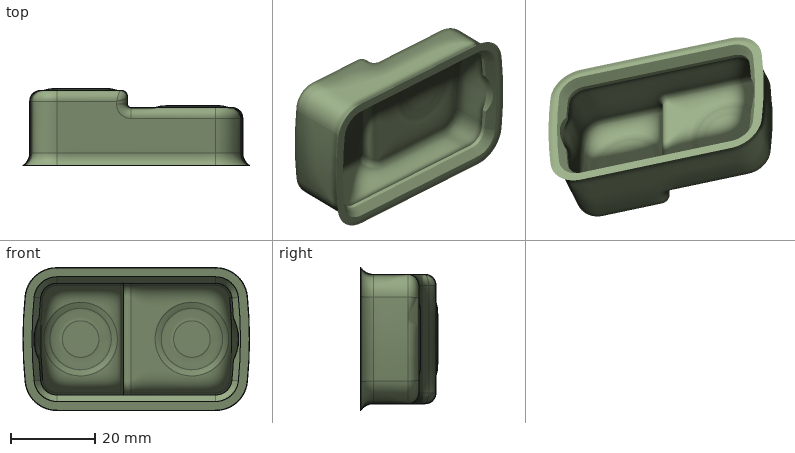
import math

import cadquery as cq


HALF_LENGTH = 25.32
HALF_WIDTH = 15.37
CORNER_RADIUS = 6.0
BOWED_END_RADIUS = 100.0

WALL = 1.0
DEEP_HEIGHT = 17.9
SHALLOW_HEIGHT = 13.83
STEP_X = -2.06
STEP_TOP_RADIUS = 1.6
STEP_FOOT_RADIUS = 0.8
FLOOR_EDGE_RADIUS = 2.6

FLARE_HEIGHT = 3.0
FLARE_REACH = 1.61
FLARE_RADIUS = (FLARE_HEIGHT**2 + FLARE_REACH**2) / (2 * FLARE_REACH)

RIM_WIDTH = 2.16
LIP_INSET = 2.1
LIP_SLOPE_DEPTH = 2.0

DOME_X = 13.23
DOME_BASE_RADIUS = 8.76
DOME_SHOULDER_RADIUS = 7.3
DOME_CENTRE_RADIUS = 4.35
DOME_SHOULDER_HEIGHT = 0.37
DOME_CREST_HEIGHT = 0.47
DOME_CLEARANCE_RADIUS = 11.05

DOME_ROOT = 0.5

PICK_MARGIN = 0.1
EXTRA = 1.0


def outline(inset, y):
    """Plan outline on the plane at y: straight sides, bowed ends and rounded corners."""
    half_length = HALF_LENGTH - inset
    half_width = HALF_WIDTH - inset
    corner = CORNER_RADIUS - inset
    bow = BOWED_END_RADIUS - inset
    bow_x = half_length - bow
    corner_z = half_width - corner
    corner_x = bow_x + math.sqrt((bow - corner) ** 2 - corner_z**2)
    tangent_angle = math.asin(corner_z / (bow - corner))
    corner_mid_angle = (tangent_angle + math.pi / 2) / 2
    end_x = corner_x + corner * math.cos(tangent_angle)
    end_z = corner_z + corner * math.sin(tangent_angle)
    mid_x = corner_x + corner * math.cos(corner_mid_angle)
    mid_z = corner_z + corner * math.sin(corner_mid_angle)
    return (
        cq.Workplane("XZ", origin=(0, y, 0))
        .moveTo(-corner_x, half_width)
        .lineTo(corner_x, half_width)
        .threePointArc((mid_x, mid_z), (end_x, end_z))
        .threePointArc((half_length, 0), (end_x, -end_z))
        .threePointArc((mid_x, -mid_z), (corner_x, -half_width))
        .lineTo(-corner_x, -half_width)
        .threePointArc((-mid_x, -mid_z), (-end_x, -end_z))
        .threePointArc((-half_length, 0), (-end_x, end_z))
        .threePointArc((-mid_x, mid_z), (-corner_x, half_width))
        .close()
    )


def prism(inset, y_start, y_end):
    """The plan outline extruded from y_start to y_end."""
    return outline(inset, y_start).extrude(y_start - y_end)


def edges_near(x, y):
    """Selector for edges along Z whose middle lies at (x, y, 0)."""
    low_corner = (x - PICK_MARGIN, y - PICK_MARGIN, -PICK_MARGIN)
    high_corner = (x + PICK_MARGIN, y + PICK_MARGIN, PICK_MARGIN)
    return cq.selectors.BoxSelector(low_corner, high_corner)


def floor_border(shallow_y, deep_y):
    """Selector for the edges where the stepped floor meets the side walls."""
    low_corner = (-HALF_LENGTH, shallow_y - PICK_MARGIN, -HALF_WIDTH - EXTRA)
    high_corner = (HALF_LENGTH, deep_y + PICK_MARGIN, HALF_WIDTH + EXTRA)
    across_the_step = cq.selectors.ParallelDirSelector(cq.Vector(0, 0, 1))
    return cq.selectors.BoxSelector(low_corner, high_corner) - across_the_step


def stepped_body(inset, y_start):
    """Solid body with a stepped, rounded floor, moved inwards by inset on every face."""
    deep_y = DEEP_HEIGHT - inset
    shallow_y = SHALLOW_HEIGHT - inset
    step_x = STEP_X - inset
    above_shallow_floor = (
        cq.Workplane("XY")
        .moveTo(step_x, shallow_y)
        .lineTo(HALF_LENGTH + EXTRA, shallow_y)
        .lineTo(HALF_LENGTH + EXTRA, deep_y + EXTRA)
        .lineTo(step_x, deep_y + EXTRA)
        .close()
        .extrude(HALF_WIDTH + EXTRA, both=True)
    )
    body = prism(inset, y_start, deep_y).cut(above_shallow_floor)
    body = body.edges(edges_near(step_x, shallow_y)).fillet(STEP_FOOT_RADIUS + inset)
    body = body.edges(edges_near(step_x, deep_y)).fillet(STEP_TOP_RADIUS - inset)
    return body.edges(floor_border(shallow_y, deep_y)).fillet(FLOOR_EDGE_RADIUS - inset)


def flared_skirt():
    """Wall foot that sweeps outwards to the rim along a concave arc."""
    arc_end_y = FLARE_HEIGHT - FLARE_RADIUS
    plate = prism(-FLARE_RADIUS - EXTRA, arc_end_y - EXTRA, arc_end_y)
    skirt = plate.union(prism(0, arc_end_y, FLARE_HEIGHT + EXTRA))
    root = cq.selectors.BoxSelector(
        (-HALF_LENGTH - PICK_MARGIN, arc_end_y - PICK_MARGIN, -HALF_WIDTH - PICK_MARGIN),
        (HALF_LENGTH + PICK_MARGIN, arc_end_y + PICK_MARGIN, HALF_WIDTH + PICK_MARGIN),
    )
    skirt = skirt.edges(root).fillet(FLARE_RADIUS)
    return skirt.intersect(prism(-FLARE_RADIUS, 0, FLARE_HEIGHT))


def lip_opening():
    """Opening through the inner lip: it narrows from the rim, then runs straight."""
    rim_wire = outline(RIM_WIDTH - FLARE_REACH, 0).wires().val()
    throat_wire = outline(LIP_INSET, LIP_SLOPE_DEPTH).wires().val()
    slope = cq.Workplane(cq.Solid.makeLoft([rim_wire, throat_wire], True))
    return slope.union(prism(LIP_INSET, LIP_SLOPE_DEPTH, FLARE_HEIGHT + EXTRA))


def dome_clearance(x):
    """Round relief, concentric with a dome, that trims the lip back at the bowed end."""
    relief = cq.Workplane("XZ", origin=(x, 0, 0)).circle(DOME_CLEARANCE_RADIUS).extrude(-FLARE_HEIGHT)
    return relief.intersect(prism(WALL, 0, FLARE_HEIGHT))


def dome(x, floor_y):
    """Low dome on a floor: conical flank, rounded crest ring and flat centre."""
    crest_ring_radius = (DOME_SHOULDER_RADIUS + DOME_CENTRE_RADIUS) / 2
    shoulder_y = floor_y + DOME_SHOULDER_HEIGHT
    root_y = floor_y - DOME_ROOT
    return (
        cq.Workplane("XY", origin=(x, 0, 0))
        .moveTo(0, root_y)
        .lineTo(DOME_BASE_RADIUS, root_y)
        .lineTo(DOME_BASE_RADIUS, floor_y)
        .lineTo(DOME_SHOULDER_RADIUS, shoulder_y)
        .threePointArc((crest_ring_radius, floor_y + DOME_CREST_HEIGHT), (DOME_CENTRE_RADIUS, shoulder_y))
        .lineTo(0, shoulder_y)
        .close()
        .revolve(360, (0, 0, 0), (0, 1, 0))
    )


shell = stepped_body(0, 0).union(flared_skirt())
cavity = stepped_body(WALL, FLARE_HEIGHT).union(lip_opening())
for dome_x, floor_height in ((-DOME_X, DEEP_HEIGHT), (DOME_X, SHALLOW_HEIGHT)):
    shell = shell.union(dome(dome_x, floor_height))
    cavity = cavity.union(dome(dome_x, floor_height - WALL))
    cavity = cavity.union(dome_clearance(dome_x))

result = shell.cut(cavity)